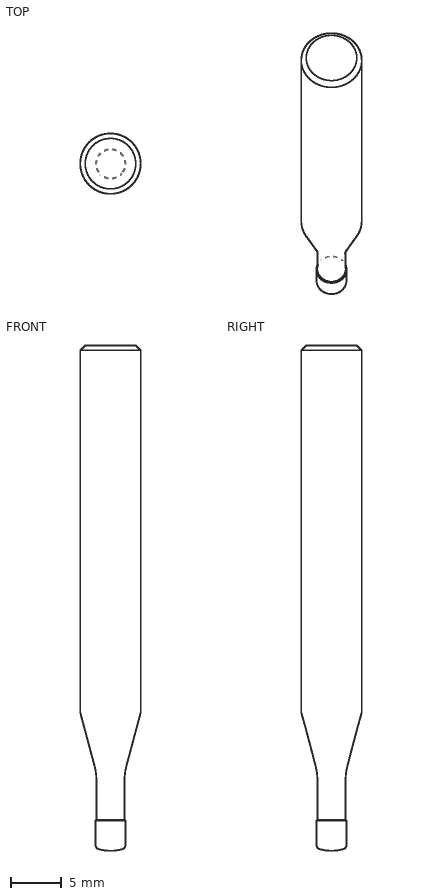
import cadquery as cq
import math

overall_length = 50.0

head_diameter = 3.0
head_length = 3.0
corner_radius = 0.5
tip_dome_radius = 4.25

neck_diameter = 2.79
neck_end = 6.9
blend_radius = 6.0
taper_angle = math.radians(15.0)

shank_diameter = 6.0
shank_chamfer = 0.5

head_radius = head_diameter / 2
neck_radius = neck_diameter / 2
shank_radius = shank_diameter / 2


def rising_arc_point(start_radius, start_height, arc_radius, angle):
    """Point on an arc below its centre; the angle is measured from straight down."""
    radius = start_radius + arc_radius * math.sin(angle)
    height = start_height + arc_radius * (1 - math.cos(angle))
    return radius, height


def neck_blend_point(angle):
    """Point on the concave blend above the neck, where it leans outward by the angle."""
    radius = neck_radius + blend_radius * (1 - math.cos(angle))
    height = neck_end + blend_radius * math.sin(angle)
    return radius, height


def turn(profile):
    """Revolve a closed half profile about the tool axis."""
    return profile.revolve(360, (0, 0, 0), (0, 1, 0))


def make_cutting_head():
    """Cylindrical head whose domed tip runs into the side through a tangent corner arc."""
    corner_center_radius = head_radius - corner_radius

    center_distance = tip_dome_radius - corner_radius
    tangent_angle = math.asin(corner_center_radius / center_distance)
    corner_top = tip_dome_radius - center_distance * math.cos(tangent_angle)
    corner_bottom = corner_top - corner_radius

    dome_middle = rising_arc_point(0, 0, tip_dome_radius, tangent_angle / 2)
    dome_end = rising_arc_point(0, 0, tip_dome_radius, tangent_angle)
    corner_middle_angle = (tangent_angle + math.pi / 2) / 2
    corner_middle = rising_arc_point(
        corner_center_radius, corner_bottom, corner_radius, corner_middle_angle
    )

    profile = (
        cq.Workplane("XZ")
        .moveTo(0, 0)
        .threePointArc(dome_middle, dome_end)
        .threePointArc(corner_middle, (head_radius, corner_top))
        .lineTo(head_radius, head_length)
        .lineTo(0, head_length)
        .close()
    )
    return turn(profile)


def make_shank():
    """Shoulder, neck, blend, taper and chamfered shank as one turned body."""
    shoulder_top = head_length + head_radius - neck_radius

    blend_middle = neck_blend_point(taper_angle / 2)
    blend_end = neck_blend_point(taper_angle)
    blend_end_radius, blend_end_height = blend_end
    taper_length = (shank_radius - blend_end_radius) / math.tan(taper_angle)
    taper_end = blend_end_height + taper_length

    profile = (
        cq.Workplane("XZ")
        .moveTo(0, head_length)
        .lineTo(head_radius, head_length)
        .lineTo(neck_radius, shoulder_top)
        .lineTo(neck_radius, neck_end)
        .threePointArc(blend_middle, blend_end)
        .lineTo(shank_radius, taper_end)
        .lineTo(shank_radius, overall_length - shank_chamfer)
        .lineTo(shank_radius - shank_chamfer, overall_length)
        .lineTo(0, overall_length)
        .close()
    )
    return turn(profile)


cutting_head = make_cutting_head()
shank = make_shank()

result = cq.Compound.makeCompound([cutting_head.val(), shank.val()])